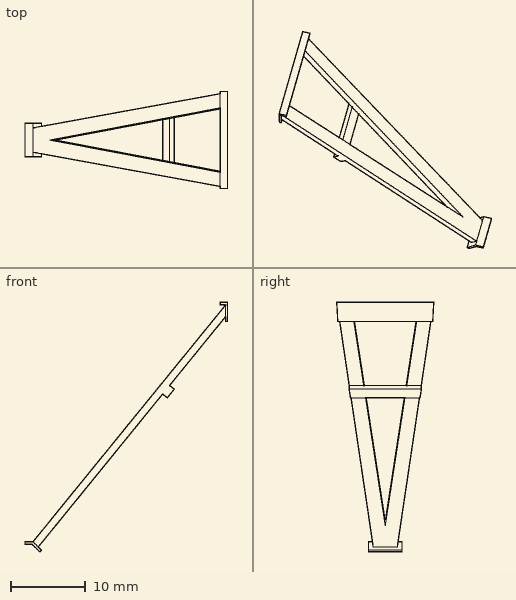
import cadquery as cq
import math

length = 27.1
width = 13.0
height = 33.42

lip_length = 1.0
lip_thickness = 0.37
plate_thickness = 0.27
plate_bottom_width = 12.73
plate_height = 2.6

foot_width = 4.5
foot_top = 1.37
toe_length = 1.07
toe_thickness = 0.37
tab_thickness = 0.35
tab_angle = math.radians(44)

frame_thickness = 1.0
frame_foot_width = 3.28
frame_head_width = 12.7
opening_head_width = 8.9
opening_start = 3.6
foot_overlap = 0.17
head_overrun = 2.67

bar_start = 26.27
bar_length = 1.5
bar_depth = 0.8

plate_inner_x = length - plate_thickness
lip_bottom = height - lip_thickness
run = plate_inner_x - toe_length
rise = lip_bottom - foot_top
slope_length = math.hypot(run, rise)
slope_plane = cq.Plane(
    origin=(toe_length, 0, foot_top),
    xDir=(run, 0, rise),
    normal=(-rise, 0, run),
)


def outer_width(distance):
    """Width across both arms at a distance up the slope."""
    return frame_foot_width + (frame_head_width - frame_foot_width) * distance / slope_length


def opening_width(distance):
    """Width between the arms at a distance up the slope."""
    return opening_head_width * (distance - opening_start) / (slope_length - opening_start)


def tapered_slab(start, end, top_depth, thickness):
    """Slab parallel to the slope, with its sides in line with the arms."""
    start_half = outer_width(start) / 2
    end_half = outer_width(end) / 2
    outline = [(start, -start_half), (end, -end_half), (end, end_half), (start, start_half)]
    return (
        cq.Workplane(slope_plane)
        .workplane(offset=-top_depth)
        .polyline(outline)
        .close()
        .extrude(-thickness)
    )


def make_frame():
    end = slope_length + head_overrun
    frame = tapered_slab(-foot_overlap, end, 0, frame_thickness)
    half_opening = opening_width(end) / 2
    opening = (
        cq.Workplane(slope_plane)
        .polyline([(opening_start, 0), (end, -half_opening), (end, half_opening)])
        .close()
        .extrude(-frame_thickness)
    )
    trim = cq.Workplane("XY").box(plate_inner_x, width, lip_bottom, centered=(False, True, False))
    return frame.cut(opening).intersect(trim)


def make_head():
    lip = (
        cq.Workplane("XY")
        .box(lip_length, width, lip_thickness, centered=(False, True, False))
        .translate((length - lip_length, 0, lip_bottom))
    )
    plate_bottom = height - plate_height
    plate = (
        cq.Workplane("YZ", origin=(plate_inner_x, 0, 0))
        .polyline([
            (-width / 2, height),
            (width / 2, height),
            (plate_bottom_width / 2, plate_bottom),
            (-plate_bottom_width / 2, plate_bottom),
        ])
        .close()
        .extrude(plate_thickness)
    )
    return lip.union(plate)


def make_foot():
    edge_x = tab_thickness * math.sin(tab_angle)
    edge_z = tab_thickness * math.cos(tab_angle)
    tip_x = toe_length + (foot_top - edge_z) / math.tan(tab_angle)
    toe_bottom = foot_top - toe_thickness
    lower_tip_x = tip_x - edge_x
    bend_x = lower_tip_x - toe_bottom / math.tan(tab_angle)
    return (
        cq.Workplane("XZ")
        .polyline([
            (0, foot_top),
            (toe_length, foot_top),
            (tip_x, edge_z),
            (lower_tip_x, 0),
            (bend_x, toe_bottom),
            (0, toe_bottom),
        ])
        .close()
        .extrude(foot_width / 2, both=True)
    )


crossbar = tapered_slab(bar_start, bar_start + bar_length, frame_thickness, bar_depth)
result = make_frame().union(crossbar).union(make_head()).union(make_foot())